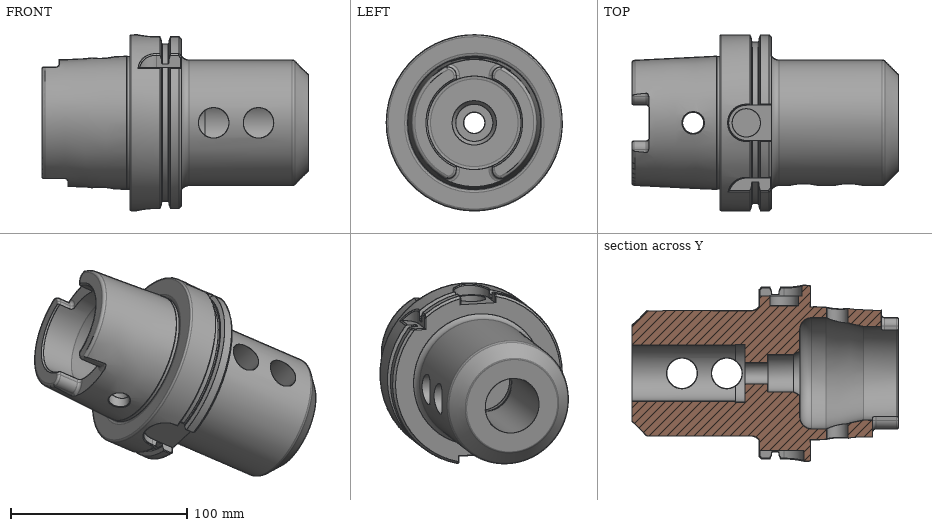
import cadquery as cq
import math

LENGTH = 151.6

TAPER_FRONT_RADIUS = 35.5
TAPER_END_RADIUS = 37.9
TAPER_END = 48.2
TAPER_FRONT_FILLET = 1.8
RELIEF_RADIUS = 37.7
RELIEF_START = 48.5
FACE_RELIEF_DEPTH = 0.3
FACE_RELIEF_INNER_RADIUS = 38.4
FACE_RELIEF_OUTER_RADIUS = 39.5

FLANGE_RADIUS = 50.0
FLANGE_START = 50.0
FLANGE_END = 79.3
FLANGE_FRONT_FILLET = 1.0
FLANGE_REAR_CHAMFER = 1.4
GROOVE_CENTRE = 140.2 / 2
GROOVE_FLOOR_RADIUS = 46.0
GROOVE_FLOOR_WIDTH = 4.1
GROOVE_FLOOR_FILLET = 0.6
GROOVE_MOUTH_WIDTH = 6.2
GROOVE_SLOPE_DEPTH = 2.6

NOSE_RADIUS = 71.4 / 2
NECK_END = 83.7
NECK_FILLET = 5.3
NOSE_CHAMFER = 8.5
NOSE_CHAMFER_BLEND = 2.1
NOSE_EDGE_FILLET = 0.9

MOUTH_RADIUS = 53.0 / 2
MOUTH_CHAMFER = 0.9
MOUTH_END = 20.0
CAVITY_RADIUS = 63.0 / 2
CLAMP_CONE_END = 41.2
CAVITY_FLOOR = 56.1
CAVITY_FLOOR_FILLET = 6.7

THREAD_HOLE_RADIUS = 21.0 / 2
THREAD_HOLE_MOUTH_RADIUS = 12.6
THREAD_HOLE_MOUTH_DEPTH = 3.8
THREAD_HOLE_DEPTH = 18.2
COOLANT_HOLE_RADIUS = 12.0 / 2
TOOL_BORE_RADIUS = 31.7 / 2
TOOL_BORE_END = 92.8
UNDERCUT_RADIUS = 32.7 / 2
UNDERCUT_FLOOR = 87.3

DRIVE_SLOT_HALF_WIDTH = 20.5 / 2
DRIVE_SLOT_DEPTH_TOP = 9.9
DRIVE_SLOT_DEPTH_BOTTOM = 14.9
DRIVE_SLOT_SHOULDER = 31.7
DRIVE_SLOT_FLARE_RADIUS = 4.9
DRIVE_SLOT_FLOOR_FILLET = 1.8
DRIVE_SLOT_RIM_FILLET = 1.4

CROSS_HOLE_X = 34.9
CROSS_HOLE_RADIUS = 12.0 / 2
CROSS_HOLE_RIM_RADIUS = 6.4

FLANGE_CUT_CENTRE_X = 65.0
FLANGE_CUT_CHAMFER = 0.6
KEYWAY_HALF_WIDTH_TOP = 10.0
KEYWAY_HALF_WIDTH_BOTTOM = 22.0 / 2
KEYWAY_FLOOR = 44.0
DIMPLE_RADIUS = 16.0 / 2
DIMPLE_DEPTH = 5.5
NOTCH_CORNER = 31.4
NOTCH_END_RADIUS = 10.0

SCREW_HOLE_RADIUS = 17.3 / 2
SCREW_HOLE_POSITIONS = (97.6, 123.1)

OVERSHOOT = 7.6
TOLERANCE = 0.02


def revolve_about_x(profile):
    return profile.close().revolve(360, (0, 0, 0), (1, 0, 0))


def ring_edges(x_start, x_end, radius):
    """Selector for edges wholly inside a slice of the X axis and no further out than radius."""
    reach = radius + TOLERANCE
    return cq.selectors.BoxSelector(
        (x_start - TOLERANCE, -reach, -reach), (x_end + TOLERANCE, reach, reach), boundingbox=True
    )


def outer_body():
    neck_centre = (NECK_END, NOSE_RADIUS + NECK_FILLET)
    neck_start_angle = math.asin((NECK_END - FLANGE_END) / NECK_FILLET)

    def neck_point(angle):
        return (
            neck_centre[0] - NECK_FILLET * math.sin(angle),
            neck_centre[1] - NECK_FILLET * math.cos(angle),
        )

    profile = (
        cq.Workplane("XY")
        .lineTo(0, TAPER_FRONT_RADIUS)
        .lineTo(TAPER_END, TAPER_END_RADIUS)
        .lineTo(RELIEF_START, RELIEF_RADIUS)
        .lineTo(FLANGE_START + FACE_RELIEF_DEPTH, RELIEF_RADIUS)
        .lineTo(FLANGE_START + FACE_RELIEF_DEPTH, FACE_RELIEF_INNER_RADIUS)
        .lineTo(FLANGE_START, FACE_RELIEF_OUTER_RADIUS)
        .lineTo(FLANGE_START, FLANGE_RADIUS - FLANGE_FRONT_FILLET)
        .radiusArc((FLANGE_START + FLANGE_FRONT_FILLET, FLANGE_RADIUS), FLANGE_FRONT_FILLET)
        .lineTo(FLANGE_END - FLANGE_REAR_CHAMFER, FLANGE_RADIUS)
        .lineTo(FLANGE_END, FLANGE_RADIUS - FLANGE_REAR_CHAMFER)
        .lineTo(*neck_point(neck_start_angle))
        .threePointArc(neck_point(neck_start_angle / 2), neck_point(0))
        .lineTo(LENGTH - NOSE_CHAMFER, NOSE_RADIUS)
        .lineTo(LENGTH, NOSE_RADIUS - NOSE_CHAMFER)
        .lineTo(LENGTH, 0)
    )
    body = revolve_about_x(profile)
    nose_shoulder = ring_edges(LENGTH - NOSE_CHAMFER, LENGTH - NOSE_CHAMFER, NOSE_RADIUS)
    body = body.edges(nose_shoulder).fillet(NOSE_CHAMFER_BLEND)
    return body.faces(">X").edges().fillet(NOSE_EDGE_FILLET)


def gripper_groove():
    half_floor = GROOVE_FLOOR_WIDTH / 2
    half_mouth = GROOVE_MOUTH_WIDTH / 2
    slope_radius = FLANGE_RADIUS - GROOVE_SLOPE_DEPTH
    profile = (
        cq.Workplane("XY")
        .moveTo(GROOVE_CENTRE - half_mouth, FLANGE_RADIUS + OVERSHOOT)
        .lineTo(GROOVE_CENTRE - half_mouth, FLANGE_RADIUS)
        .lineTo(GROOVE_CENTRE - half_floor, slope_radius)
        .lineTo(GROOVE_CENTRE - half_floor, GROOVE_FLOOR_RADIUS)
        .lineTo(GROOVE_CENTRE + half_floor, GROOVE_FLOOR_RADIUS)
        .lineTo(GROOVE_CENTRE + half_floor, slope_radius)
        .lineTo(GROOVE_CENTRE + half_mouth, FLANGE_RADIUS)
        .lineTo(GROOVE_CENTRE + half_mouth, FLANGE_RADIUS + OVERSHOOT)
    )
    floor_edges = ring_edges(
        GROOVE_CENTRE - half_floor, GROOVE_CENTRE + half_floor, GROOVE_FLOOR_RADIUS
    )
    return revolve_about_x(profile).edges(floor_edges).fillet(GROOVE_FLOOR_FILLET)


def axial_cavity():
    fillet_inset = CAVITY_FLOOR_FILLET * (1 - math.sqrt(0.5))
    profile = (
        cq.Workplane("XY")
        .lineTo(0, MOUTH_RADIUS + MOUTH_CHAMFER)
        .lineTo(MOUTH_CHAMFER, MOUTH_RADIUS)
        .lineTo(MOUTH_END, MOUTH_RADIUS)
        .lineTo(CLAMP_CONE_END, CAVITY_RADIUS)
        .lineTo(CAVITY_FLOOR - CAVITY_FLOOR_FILLET, CAVITY_RADIUS)
        .threePointArc(
            (CAVITY_FLOOR - fillet_inset, CAVITY_RADIUS - fillet_inset),
            (CAVITY_FLOOR, CAVITY_RADIUS - CAVITY_FLOOR_FILLET),
        )
        .lineTo(CAVITY_FLOOR, THREAD_HOLE_MOUTH_RADIUS)
        .lineTo(CAVITY_FLOOR + THREAD_HOLE_MOUTH_DEPTH, THREAD_HOLE_RADIUS)
        .lineTo(CAVITY_FLOOR + THREAD_HOLE_DEPTH, THREAD_HOLE_RADIUS)
        .lineTo(CAVITY_FLOOR + THREAD_HOLE_DEPTH, COOLANT_HOLE_RADIUS)
        .lineTo(UNDERCUT_FLOOR, COOLANT_HOLE_RADIUS)
        .lineTo(UNDERCUT_FLOOR, UNDERCUT_RADIUS)
        .lineTo(TOOL_BORE_END, UNDERCUT_RADIUS)
        .lineTo(TOOL_BORE_END, TOOL_BORE_RADIUS)
        .lineTo(LENGTH, TOOL_BORE_RADIUS)
        .lineTo(LENGTH, 0)
    )
    return revolve_about_x(profile)


def taper_front_rounding():
    """Ring cutter that rounds the front outer edge of the taper."""
    slope = math.atan2(TAPER_END_RADIUS - TAPER_FRONT_RADIUS, TAPER_END)
    tangent_length = TAPER_FRONT_FILLET * math.tan((math.pi / 2 - slope) / 2)
    face_point = (0, TAPER_FRONT_RADIUS - tangent_length)
    taper_point = (
        tangent_length * math.cos(slope),
        TAPER_FRONT_RADIUS + tangent_length * math.sin(slope),
    )
    profile = (
        cq.Workplane("XY")
        .moveTo(*face_point)
        .radiusArc(taper_point, TAPER_FRONT_FILLET)
        .lineTo(taper_point[0], FLANGE_RADIUS)
        .lineTo(-OVERSHOOT, FLANGE_RADIUS)
        .lineTo(-OVERSHOOT, face_point[1])
    )
    return revolve_about_x(profile)


def drive_slot(depth):
    """Cutter for the slot at +Z, flared outwards above its straight walls."""
    wall_top = DRIVE_SLOT_SHOULDER - DRIVE_SLOT_FLARE_RADIUS
    flare_end = DRIVE_SLOT_HALF_WIDTH + DRIVE_SLOT_FLARE_RADIUS
    flare_bulge = DRIVE_SLOT_FLARE_RADIUS * (1 - math.sqrt(0.5))
    side = FLANGE_RADIUS
    roof = FLANGE_RADIUS
    cutter = (
        cq.Workplane("YZ", origin=(-OVERSHOOT, 0, 0))
        .moveTo(-DRIVE_SLOT_HALF_WIDTH, 0)
        .lineTo(DRIVE_SLOT_HALF_WIDTH, 0)
        .lineTo(DRIVE_SLOT_HALF_WIDTH, wall_top)
        .threePointArc(
            (DRIVE_SLOT_HALF_WIDTH + flare_bulge, DRIVE_SLOT_SHOULDER - flare_bulge),
            (flare_end, DRIVE_SLOT_SHOULDER),
        )
        .lineTo(side, DRIVE_SLOT_SHOULDER)
        .lineTo(side, roof)
        .lineTo(-side, roof)
        .lineTo(-side, DRIVE_SLOT_SHOULDER)
        .lineTo(-flare_end, DRIVE_SLOT_SHOULDER)
        .threePointArc(
            (-DRIVE_SLOT_HALF_WIDTH - flare_bulge, DRIVE_SLOT_SHOULDER - flare_bulge),
            (-DRIVE_SLOT_HALF_WIDTH, wall_top),
        )
        .close()
        .extrude(OVERSHOOT + depth)
    )
    return cutter.faces(">X").edges("not(<Z or >Z or <Y or >Y)").fillet(DRIVE_SLOT_FLOOR_FILLET)


def on_bottom(cutter):
    return cutter.rotate((0, 0, 0), (1, 0, 0), 180)


def keyway(half_width):
    """Cutter for a keyway at +Z, round at its front end and open to the rear."""
    rear = FLANGE_END + OVERSHOOT
    return (
        cq.Workplane("XY", origin=(0, 0, KEYWAY_FLOOR))
        .moveTo(FLANGE_CUT_CENTRE_X, half_width)
        .threePointArc((FLANGE_CUT_CENTRE_X - half_width, 0), (FLANGE_CUT_CENTRE_X, -half_width))
        .lineTo(rear, -half_width)
        .lineTo(rear, half_width)
        .close()
        .extrude(FLANGE_RADIUS)
    )


def indexing_notch():
    """Cutter for the square notch between -Y and +Z, round at its front end."""
    rear = FLANGE_END + OVERSHOOT
    centre_y = -NOTCH_CORNER - NOTCH_END_RADIUS
    return (
        cq.Workplane("XY", origin=(0, 0, NOTCH_CORNER))
        .moveTo(FLANGE_CUT_CENTRE_X, -NOTCH_CORNER)
        .threePointArc(
            (FLANGE_CUT_CENTRE_X - NOTCH_END_RADIUS, centre_y),
            (FLANGE_CUT_CENTRE_X, centre_y - NOTCH_END_RADIUS),
        )
        .lineTo(rear, centre_y - NOTCH_END_RADIUS)
        .lineTo(rear, -NOTCH_CORNER)
        .close()
        .extrude(FLANGE_RADIUS)
    )


def vertical_hole(x, radius, bottom, top):
    return cq.Workplane("XY", origin=(x, 0, bottom)).circle(radius).extrude(top - bottom)


def screw_hole(x):
    return cq.Workplane("XZ", origin=(x, 0, 0)).circle(SCREW_HOLE_RADIUS).extrude(FLANGE_RADIUS)


def flange_skin_radius(x):
    return min(FLANGE_RADIUS, FLANGE_RADIUS - FLANGE_REAR_CHAMFER + FLANGE_END - x)


def on_flange_skin(edge):
    """True if the edge lies in the rim, rear bevel or rear face of the flange."""
    points = edge.positions([0, 0.5, 1])
    on_rear_face = all(abs(p.x - FLANGE_END) < TOLERANCE for p in points)
    on_rim = all(abs(math.hypot(p.y, p.z) - flange_skin_radius(p.x)) < TOLERANCE for p in points)
    return on_rear_face or on_rim


def chamfer_flange_cut(body, lower_corner, upper_corner):
    """Break the outer edges that a cut leaves inside the given Y-Z rectangle."""
    region = cq.selectors.BoxSelector(
        (FLANGE_START + FLANGE_FRONT_FILLET, *lower_corner),
        (FLANGE_END + TOLERANCE, *upper_corner),
    )
    return body.edges(region).filter(on_flange_skin).chamfer(FLANGE_CUT_CHAMFER)


def cut_flange(body):
    keyway_side = KEYWAY_HALF_WIDTH_BOTTOM + TOLERANCE
    keyway_foot = KEYWAY_FLOOR + TOLERANCE
    notch_foot = NOTCH_CORNER - TOLERANCE
    dimple_floor = KEYWAY_FLOOR - DIMPLE_DEPTH
    body = body.cut(keyway(KEYWAY_HALF_WIDTH_TOP))
    body = body.cut(on_bottom(keyway(KEYWAY_HALF_WIDTH_BOTTOM)))
    body = body.cut(indexing_notch())
    body = chamfer_flange_cut(body, (-keyway_side, keyway_foot), (keyway_side, FLANGE_RADIUS))
    body = chamfer_flange_cut(body, (-keyway_side, -FLANGE_RADIUS), (keyway_side, -keyway_foot))
    body = chamfer_flange_cut(body, (-FLANGE_RADIUS, notch_foot), (-notch_foot, FLANGE_RADIUS))
    body = body.cut(gripper_groove())
    return body.cut(vertical_hole(FLANGE_CUT_CENTRE_X, DIMPLE_RADIUS, dimple_floor, FLANGE_RADIUS))


def is_slot_rim(edge):
    """True for a front edge of a drive slot, which unlike the taper's edge is not centred on X."""
    radii = [math.hypot(p.y, p.z) for p in edge.positions([0, 0.5, 1])]
    return max(radii) - min(radii) > TOLERANCE


def cut_taper(body):
    body = body.cut(drive_slot(DRIVE_SLOT_DEPTH_TOP))
    body = body.cut(on_bottom(drive_slot(DRIVE_SLOT_DEPTH_BOTTOM)))
    body = body.faces("<X").edges().filter(is_slot_rim).fillet(DRIVE_SLOT_RIM_FILLET)
    body = body.cut(taper_front_rounding())
    body = body.cut(axial_cavity())
    body = body.cut(vertical_hole(CROSS_HOLE_X, CROSS_HOLE_RADIUS, -FLANGE_RADIUS, FLANGE_RADIUS))
    for side in (-1, 1):
        hole_rim = cq.selectors.NearestToPointSelector((CROSS_HOLE_X, 0, side * TAPER_END_RADIUS))
        body = body.edges(hole_rim).chamfer(CROSS_HOLE_RIM_RADIUS - CROSS_HOLE_RADIUS)
    return body


result = cut_taper(cut_flange(outer_body()))
for hole_x in SCREW_HOLE_POSITIONS:
    result = result.cut(screw_hole(hole_x))